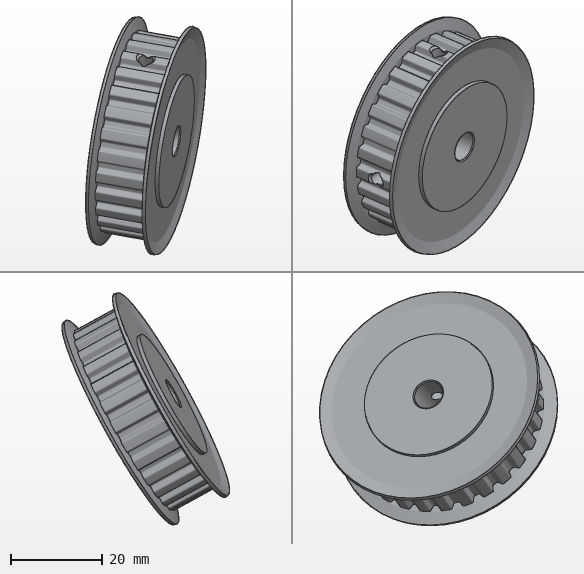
import cadquery as cq
import math

flange_diameter = 50.8
overall_width = 14.15

tooth_count = 28
tooth_width = 10.75
tooth_tip_radius = 22.45
groove_depth = 1.4
groove_floor_width = 1.3
groove_half_angle = 25.0
root_fillet = 0.4
tip_fillet = 0.4

flange_radius = flange_diameter / 2
flange_thickness = 0.75
flange_bend_radius = 22.6
flange_bend_angle = 14.0

hub_start_radius = 15.1
hub_end_radius = 14.8
hub_start_x = -7.15
hub_end_x = hub_start_x + overall_width

bore_radius = 3.25
bore_chamfer = 0.25

screw_radius = 1.6
countersink_radius = 2.1
screw_directions = (0, -90)


def plane_across_x(start_x):
    """Workplane facing +X at start_x, with local axes along Y and Z."""
    return cq.Workplane("YZ", origin=(start_x, 0, 0))


def revolve_about_x(points):
    """Solid of revolution about X from (x, radius) points."""
    return cq.Workplane("XY").polyline(points).close().revolve(360, (0, 0, 0), (1, 0, 0))


def make_toothed_rim():
    """Cylinder with trapezoidal tooth grooves, rounded at their roots and tips."""
    rim = plane_across_x(-tooth_width / 2).circle(tooth_tip_radius).extrude(tooth_width)

    floor_radius = tooth_tip_radius - groove_depth
    cutter_top = floor_radius + 2 * groove_depth
    floor_half = groove_floor_width / 2
    top_half = floor_half + 2 * groove_depth * math.tan(math.radians(groove_half_angle))
    cutter = (
        plane_across_x(-tooth_width / 2)
        .polyline([
            (-floor_half, floor_radius),
            (floor_half, floor_radius),
            (top_half, cutter_top),
            (-top_half, cutter_top),
        ])
        .close()
        .extrude(tooth_width)
    )
    pitch_angle = 360 / tooth_count
    for index in range(tooth_count):
        groove_angle = (index + 0.5) * pitch_angle
        rim = rim.cut(cutter.rotate((0, 0, 0), (1, 0, 0), groove_angle))

    middle_radius = tooth_tip_radius - groove_depth / 2

    def is_root(edge):
        return math.hypot(edge.Center().y, edge.Center().z) < middle_radius

    tip_edges = [edge for edge in rim.edges("|X").vals() if not is_root(edge)]
    solid = rim.val().fillet(tip_fillet, tip_edges)
    root_edges = [edge for edge in cq.Workplane(solid).edges("|X").vals() if is_root(edge)]
    return cq.Workplane(solid.fillet(root_fillet, root_edges))


def make_flange():
    """Sheet flange on the +X side."""
    bend = math.radians(flange_bend_angle)
    inner_x = tooth_width / 2
    outer_x = inner_x + flange_thickness
    inner_bend_radius = flange_bend_radius + flange_thickness * math.tan(bend / 2)
    rim_inner_x = inner_x + (flange_radius - inner_bend_radius) * math.tan(bend)
    rim_outer_x = rim_inner_x + flange_thickness * math.cos(bend)
    rim_outer_radius = flange_radius - flange_thickness * math.sin(bend)
    return revolve_about_x([
        (inner_x, 0),
        (inner_x, inner_bend_radius),
        (rim_inner_x, flange_radius),
        (rim_outer_x, rim_outer_radius),
        (outer_x, flange_bend_radius),
        (outer_x, 0),
    ])


def make_hub():
    """Two cylinders meeting at X = 0, each standing out of the flange on its side."""
    start_half = plane_across_x(hub_start_x).circle(hub_start_radius).extrude(-hub_start_x)
    end_half = plane_across_x(0).circle(hub_end_radius).extrude(hub_end_x)
    return start_half.union(end_half)


def make_bore():
    """Through bore with a 45 degree chamfer at each end."""
    mouth_radius = bore_radius + bore_chamfer
    return revolve_about_x([
        (hub_start_x, 0),
        (hub_start_x, mouth_radius),
        (hub_start_x + bore_chamfer, bore_radius),
        (hub_end_x - bore_chamfer, bore_radius),
        (hub_end_x, mouth_radius),
        (hub_end_x, 0),
    ])


def make_screw_hole():
    """Radial hole along +Z with a 45 degree countersink at the tooth tip."""
    countersink_depth = countersink_radius - screw_radius
    return (
        cq.Workplane("XZ")
        .polyline([
            (0, 0),
            (screw_radius, 0),
            (screw_radius, tooth_tip_radius - countersink_depth),
            (countersink_radius, tooth_tip_radius),
            (0, tooth_tip_radius),
        ])
        .close()
        .revolve(360, (0, 0, 0), (0, 1, 0))
    )


flange = make_flange()
screw_hole = make_screw_hole()

result = (
    make_toothed_rim()
    .union(flange)
    .union(flange.mirror("YZ"))
    .union(make_hub())
    .cut(make_bore())
)
for angle in screw_directions:
    result = result.cut(screw_hole.rotate((0, 0, 0), (1, 0, 0), angle))